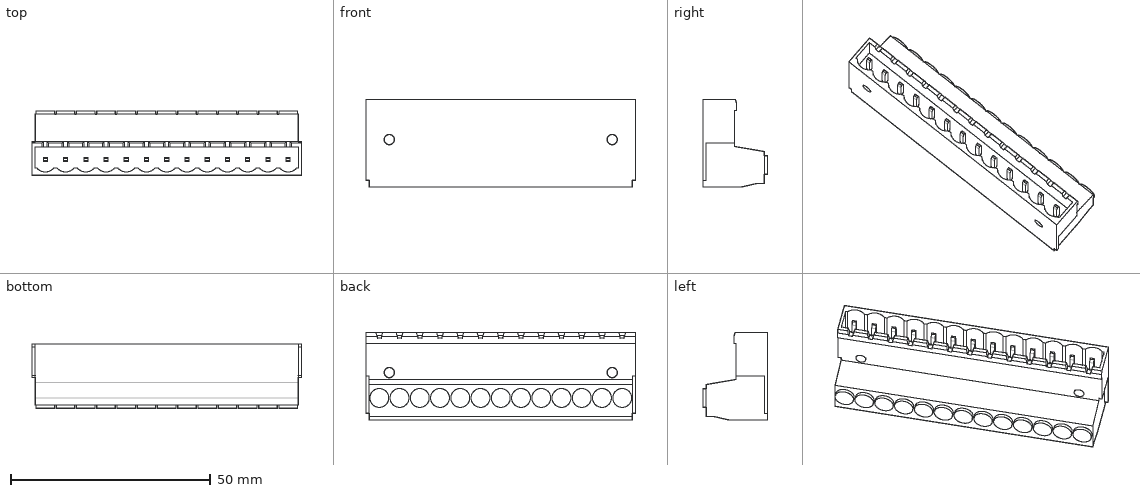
import cadquery as cq

LENGTH = 67.65
HEIGHT = 22.0
DEPTH = 16.2
CONTACTS = 13
PITCH = 5.1

HOUSING_DEPTH = 7.9
HOUSING_BOTTOM = 11.0
FRONT_PLATE = 0.8
FRONT_PLATE_BOTTOM = 1.7

LIP_REACH = 0.55
LIP_BOTTOM = 19.15
LIP_CHAMFER_Y = 0.35
LIP_CHAMFER_Z = 1.0
LIP_NOTCH_TOP = 1.7
LIP_NOTCH_FLOOR = 0.95
LIP_NOTCH_DEPTH = 1.4

CAVITY_FLOOR = 13.9
END_WALL = 0.75
CAVITY_FRONT = 1.9
CAVITY_REAR = 7.2
SCALLOP_WIDTH = 4.3
SCALLOP_DEPTH = 1.0

PIN_WIDTH = 1.0
PIN_Y = 4.0
PIN_TOP = 21.2
PIN_TIP_THICKNESS = 0.4
PIN_TAPER_LENGTH = 0.95

BLOCK_INSET = 0.8
BLOCK_REAR = 15.35
BLOCK_TOP_AT_HOUSING = 10.2
BLOCK_TOP_AT_REAR = 8.9
BLOCK_REAR_BOTTOM = 0.9
RAMP_REAR = 13.5
RAMP_FRONT = 9.7

SCREW_DIAMETER = 4.75
SCREW_Z = 5.55

HOLE_DIAMETER = 2.5
HOLE_FROM_END = 5.9
HOLE_Z = 11.9

FIRST_CONTACT_X = (LENGTH - (CONTACTS - 1) * PITCH) / 2
CONTACT_XS = [FIRST_CONTACT_X + i * PITCH for i in range(CONTACTS)]


def terminal_block():
    """Sloped block, a little shorter than the housing above it."""
    profile = [
        (0, 0),
        (RAMP_FRONT, 0),
        (RAMP_REAR, BLOCK_REAR_BOTTOM),
        (BLOCK_REAR, BLOCK_REAR_BOTTOM),
        (BLOCK_REAR, BLOCK_TOP_AT_REAR),
        (HOUSING_DEPTH, BLOCK_TOP_AT_HOUSING),
        (HOUSING_DEPTH, HOUSING_BOTTOM),
        (0, HOUSING_BOTTOM),
    ]
    length = LENGTH - 2 * BLOCK_INSET
    return cq.Workplane("YZ", origin=(BLOCK_INSET, 0, 0)).polyline(profile).close().extrude(length)


def housing():
    """Full-length upper body with its rear lip and the front plate reaching down."""
    lip_rear = HOUSING_DEPTH + LIP_REACH
    profile = [
        (0, FRONT_PLATE_BOTTOM),
        (FRONT_PLATE, FRONT_PLATE_BOTTOM),
        (FRONT_PLATE, HOUSING_BOTTOM),
        (HOUSING_DEPTH, HOUSING_BOTTOM),
        (HOUSING_DEPTH, LIP_BOTTOM),
        (lip_rear, LIP_BOTTOM),
        (lip_rear, HEIGHT - LIP_CHAMFER_Z),
        (lip_rear - LIP_CHAMFER_Y, HEIGHT),
        (0, HEIGHT),
    ]
    return cq.Workplane("YZ").polyline(profile).close().extrude(LENGTH)


def cavity():
    """Rectangular cavity open at the top of the housing."""
    return (
        cq.Workplane("XY", origin=(END_WALL, CAVITY_FRONT, CAVITY_FLOOR))
        .box(
            LENGTH - 2 * END_WALL,
            CAVITY_REAR - CAVITY_FRONT,
            HEIGHT - CAVITY_FLOOR,
            centered=False,
        )
    )


def scallop(x):
    """Arc-shaped recess in the front cavity wall, facing one contact."""
    return (
        cq.Workplane("XY", origin=(x, CAVITY_FRONT, CAVITY_FLOOR))
        .moveTo(-SCALLOP_WIDTH / 2, 0)
        .threePointArc((0, -SCALLOP_DEPTH), (SCALLOP_WIDTH / 2, 0))
        .close()
        .extrude(HEIGHT - CAVITY_FLOOR)
    )


def lip_notch(x):
    """Tapered notch across the top of the rear wall and its lip."""
    floor = HEIGHT - LIP_NOTCH_DEPTH
    profile = [
        (x - LIP_NOTCH_TOP / 2, HEIGHT),
        (x - LIP_NOTCH_FLOOR / 2, floor),
        (x + LIP_NOTCH_FLOOR / 2, floor),
        (x + LIP_NOTCH_TOP / 2, HEIGHT),
    ]
    reach = HOUSING_DEPTH + LIP_REACH - CAVITY_REAR
    return cq.Workplane("XZ", origin=(0, CAVITY_REAR, 0)).polyline(profile).close().extrude(-reach)


def pin(x):
    """Contact pin standing on the cavity floor, tapered front and rear to a narrow tip."""
    half = PIN_WIDTH / 2
    half_tip = PIN_TIP_THICKNESS / 2
    profile = [
        (PIN_Y - half, CAVITY_FLOOR),
        (PIN_Y + half, CAVITY_FLOOR),
        (PIN_Y + half, PIN_TOP - PIN_TAPER_LENGTH),
        (PIN_Y + half_tip, PIN_TOP),
        (PIN_Y - half_tip, PIN_TOP),
        (PIN_Y - half, PIN_TOP - PIN_TAPER_LENGTH),
    ]
    return cq.Workplane("YZ", origin=(x - half, 0, 0)).polyline(profile).close().extrude(PIN_WIDTH)


def screw(x):
    """Round screw head standing out of the rear face."""
    return (
        cq.Workplane("XZ", origin=(x, BLOCK_REAR, SCREW_Z))
        .circle(SCREW_DIAMETER / 2)
        .extrude(BLOCK_REAR - DEPTH)
    )


def mounting_hole(x):
    """Round hole through the housing from front to rear."""
    return (
        cq.Workplane("XZ", origin=(x, 0, HOLE_Z))
        .circle(HOLE_DIAMETER / 2)
        .extrude(-HOUSING_DEPTH)
    )


result = terminal_block().union(housing())
result = result.cut(cavity())

for contact_x in CONTACT_XS:
    result = result.cut(scallop(contact_x))
    result = result.cut(lip_notch(contact_x))
    result = result.union(pin(contact_x))
    result = result.union(screw(contact_x))

for hole_x in (HOLE_FROM_END, LENGTH - HOLE_FROM_END):
    result = result.cut(mounting_hole(hole_x))